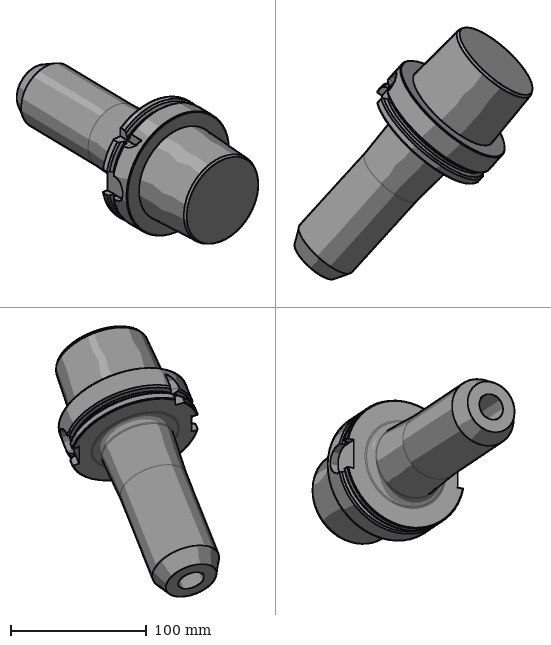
import cadquery as cq
import math

overall_length = 210.0
shank_length = 50.0
flange_width = 29.0
flange_end = overall_length - shank_length
flange_start = flange_end - flange_width
nose_taper_length = 12.5
barrel_end = 88.0
collar_start = 124.7

flange_radius = 100.0 / 2
nose_radius = 39.5 / 2
barrel_radius = 52.0 / 2
collar_radius = 56.0 / 2
shank_base_radius = 38.2
shank_tip_radius = 36.0

root_fillet = 5.0
root_pad_radius = 34.2
root_pad_height = 0.2
flange_chamfer = 0.6
shank_chamfer_length = 2.0
shank_chamfer_depth = 1.0

groove_center = 139.9
groove_mouth_width = 7.5
groove_throat_width = 4.6
groove_floor_width = 2.0
groove_throat_radius = 48.7
groove_floor_radius = 46.0

bore_diameter = 20.0
bore_depth = 50.5

slot_end = 155.2
front_slot_width = 20.0
front_slot_floor = 44.0
front_slot_corner = front_slot_width / 2
back_slot_width = 22.5
back_slot_floor = 43.5
back_slot_corner = 11.0
notch_offset = 31.5
notch_radius = 10.0


def holder_body():
    """Nose, barrel, flange and taper shank turned about the X axis."""
    fillet_end = flange_start - root_pad_height
    fillet_start = fillet_end - root_fillet
    fillet_top = collar_radius + root_fillet
    fillet_mid = (
        fillet_start + root_fillet * math.sin(math.pi / 4),
        fillet_top - root_fillet * math.cos(math.pi / 4),
    )
    shank_chamfer_start = overall_length - shank_chamfer_length
    return (
        cq.Workplane("XY")
        .moveTo(0, 0)
        .lineTo(0, nose_radius)
        .lineTo(nose_taper_length, barrel_radius)
        .lineTo(barrel_end, barrel_radius)
        .lineTo(collar_start, collar_radius)
        .lineTo(fillet_start, collar_radius)
        .threePointArc(fillet_mid, (fillet_end, fillet_top))
        .lineTo(flange_start, root_pad_radius)
        .lineTo(flange_start, flange_radius - flange_chamfer)
        .lineTo(flange_start + flange_chamfer, flange_radius)
        .lineTo(flange_end - flange_chamfer, flange_radius)
        .lineTo(flange_end, flange_radius - flange_chamfer)
        .lineTo(flange_end, shank_base_radius)
        .lineTo(shank_chamfer_start, shank_tip_radius)
        .lineTo(overall_length, shank_tip_radius - shank_chamfer_depth)
        .lineTo(overall_length, 0)
        .close()
        .revolve(360, (0, 0, 0), (1, 0, 0))
    )


def gripper_groove():
    """Ring with a steep-sided groove section and a bevelled mouth."""
    clear_radius = flange_radius + 2
    levels = [
        (groove_mouth_width, clear_radius),
        (groove_mouth_width, flange_radius),
        (groove_throat_width, groove_throat_radius),
        (groove_floor_width, groove_floor_radius),
    ]
    left_side = [(groove_center - width / 2, radius) for width, radius in levels]
    right_side = [(groove_center + width / 2, radius) for width, radius in reversed(levels)]
    return (
        cq.Workplane("XY")
        .polyline(left_side + right_side)
        .close()
        .revolve(360, (0, 0, 0), (1, 0, 0))
    )


def drive_slot(width, floor, corner, side):
    """Slot open to the flange front with rounded inner corners; side is -1 or +1 along Y."""
    half = width / 2
    land = half - corner
    arc_start = slot_end - corner
    mid_x = arc_start + corner * math.sin(math.pi / 4)
    mid_z = land + corner * math.cos(math.pi / 4)
    outline = (
        cq.Workplane("XZ", origin=(0, side * floor, 0))
        .moveTo(flange_start, -half)
        .lineTo(arc_start, -half)
        .threePointArc((mid_x, -mid_z), (slot_end, -land))
    )
    if land > 0:
        outline = outline.lineTo(slot_end, land)
    return (
        outline.threePointArc((mid_x, mid_z), (arc_start, half))
        .lineTo(flange_start, half)
        .close()
        .extrude(-side * flange_radius)
    )


def orientation_notch():
    """Corner notch whose floor curves upward at its inner end."""
    arc_start = slot_end - notch_radius
    arc_top = notch_offset + notch_radius
    arc_mid = (
        arc_start + notch_radius * math.sin(math.pi / 4),
        arc_top - notch_radius * math.cos(math.pi / 4),
    )
    return (
        cq.Workplane("XZ", origin=(0, -notch_offset, 0))
        .moveTo(flange_start, notch_offset)
        .lineTo(arc_start, notch_offset)
        .threePointArc(arc_mid, (slot_end, arc_top))
        .lineTo(slot_end, flange_radius)
        .lineTo(flange_start, flange_radius)
        .close()
        .extrude(flange_radius)
    )


def tool_bore():
    """Blind bore from the nose face."""
    return cq.Workplane("YZ").circle(bore_diameter / 2).extrude(bore_depth)


result = (
    holder_body()
    .cut(gripper_groove())
    .cut(drive_slot(front_slot_width, front_slot_floor, front_slot_corner, -1))
    .cut(drive_slot(back_slot_width, back_slot_floor, back_slot_corner, 1))
    .cut(orientation_notch())
    .cut(tool_bore())
)